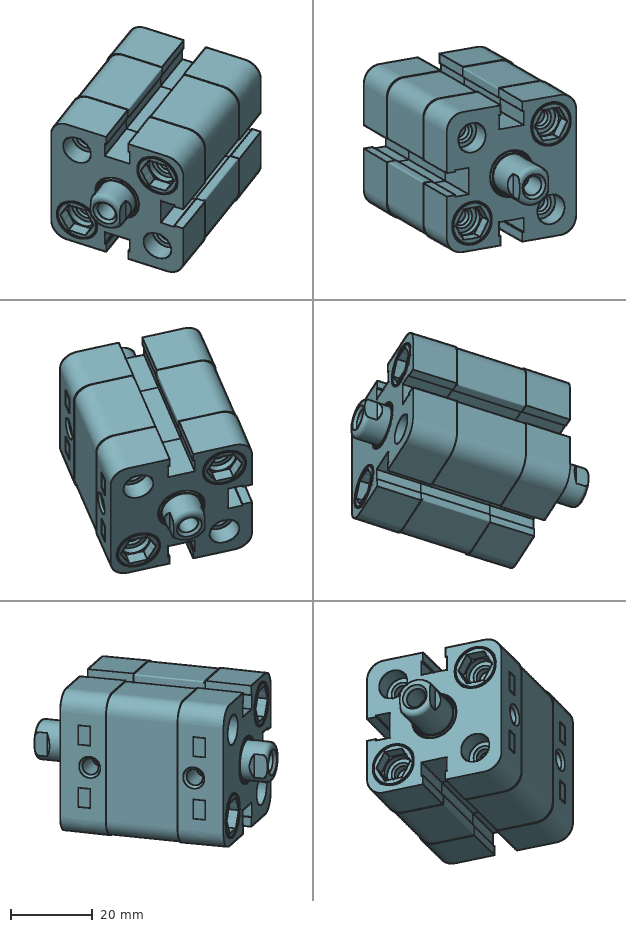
import cadquery as cq
import math


rod_length = 60.1
rod_diameter = 10.0
rear_rod_overhang = 11.4
cap_length = 11.85
barrel_length = 18.45
cap_outer_side = 36.1
cap_joint_side = 36.3
cap_outer_corner = 4.45
barrel_side = 35.95
barrel_corner = 4.5
bore_diameter = 20.0
bore_depth_in_cap = 7.2

joint_y = barrel_length / 2
rod_rear_y = joint_y + cap_length + rear_rod_overhang
rod_front_y = rod_rear_y - rod_length
core_length = barrel_length + 2 * bore_depth_in_cap

slot_width = 6.85
slot_floor = 11.95
lip_height = 15.6
cap_lip_gap = 6.0
barrel_lip_gap = 5.75
barrel_lip_fillet = 0.35
slot_angles = (0, 90, 180)

cut_margin = 0.6

hole_offset = 11.0
thread_diameter = 4.15
thread_mouth_diameter = 5.3
thread_depth = 2.4
counterbore_diameter = 7.6
counterbore_depth = 4.8
head_hole_diameter = 11.1
head_diameter = 10.9
head_face_diameter = 10.35
head_groove_depth = 0.6
hex_across_flats = 7.9
hex_pilot_diameter = 8.0
hex_depth = 3.0
socket_diameter = 7.6
socket_depth = 4.8

rod_mouth_diameter = 12.0
rod_recess_diameter = 11.4
rod_recess_depth = 0.6
wiper_base_diameter = 11.1
wiper_tip_diameter = 10.45
wiper_height = 0.5

port_from_joint = 4.2
port_diameter = 4.15
port_mouth_diameter = 5.5
core_window_height = 3.2
label_from_joint = 5.6
label_width = 3.1
label_length = 4.9
label_offset = 8.0
label_depth = 0.1

rod_end_fillet = 1.2
flat_distance = 8.0
flat_length = 3.3
rod_thread_diameter = 4.9
rod_thread_mouth_diameter = 6.45
rod_thread_depth = 7.2


def centred_cylinder(diameter, length):
    """Cylinder along Y, centred on the origin."""
    return cq.Workplane("XZ").circle(diameter / 2).extrude(length / 2, both=True)


def round_hole(face_y, x, z, diameter, depth):
    """Cylinder sunk toward +Y from face_y."""
    return cq.Workplane("XZ", origin=(x, face_y, z)).circle(diameter / 2).extrude(-depth)


def mouth_cone(face_y, x, z, mouth_diameter, hole_diameter):
    """45 degree countersink sunk toward +Y from face_y."""
    depth = (mouth_diameter - hole_diameter) / 2
    cone = cq.Solid.makeCone(
        mouth_diameter / 2, hole_diameter / 2, depth, pnt=(x, face_y, z), dir=(0, 1, 0)
    )
    return cq.Workplane(cone)


def threaded_hole(face_y, x, z, mouth_diameter, diameter, depth):
    """Core hole with a countersunk mouth, sunk toward +Y from face_y."""
    hole = round_hole(face_y, x, z, diameter, depth)
    return hole.union(mouth_cone(face_y, x, z, mouth_diameter, diameter))


def cut_slots(body, lip_gap, y_front, length):
    """Cut the undercut slots over a length that starts at y_front."""
    outside = cap_joint_side / 2 + cut_margin
    undercut = (
        cq.Workplane("XY")
        .box(slot_width, length, lip_height - slot_floor, centered=(True, False, False))
        .translate((0, y_front, slot_floor))
    )
    mouth = (
        cq.Workplane("XY")
        .box(lip_gap, length, outside - slot_floor, centered=(True, False, False))
        .translate((0, y_front, slot_floor))
    )
    slot = undercut.union(mouth)
    for angle in slot_angles:
        body = body.cut(slot.rotate((0, 0, 0), (0, 1, 0), angle))
    return body


def cut_screw_head(cap, face_y, x, z):
    """Screw head flush with the cap face: edge groove, hexagon socket and threaded hole."""
    head_chamfer = (head_diameter - head_face_diameter) / 2
    head = round_hole(face_y, x, z, head_diameter, head_groove_depth).faces("<Y").chamfer(head_chamfer)
    groove = round_hole(face_y, x, z, head_hole_diameter, head_groove_depth).cut(head)
    hexagon = (
        cq.Workplane("XZ", origin=(x, face_y, z))
        .polygon(6, hex_across_flats / math.cos(math.pi / 6))
        .extrude(-hex_depth)
    )
    pilot = round_hole(face_y, x, z, hex_pilot_diameter, hex_depth)
    socket = round_hole(face_y, x, z, socket_diameter, socket_depth)
    thread = threaded_hole(
        face_y + socket_depth, x, z, thread_mouth_diameter, thread_diameter, thread_depth
    )
    return cap.cut(groove).cut(hexagon).cut(pilot).cut(socket).cut(thread)


def cut_counterbore(cap, face_y, x, z):
    """Plain counterbore with a threaded hole in its floor."""
    bore = round_hole(face_y, x, z, counterbore_diameter, counterbore_depth)
    thread = threaded_hole(
        face_y + counterbore_depth, x, z, thread_mouth_diameter, thread_diameter, thread_depth
    )
    return cap.cut(bore).cut(thread)


def cut_bores(cap, face_y):
    """Bore for the core, rod hole, and a recess that leaves a conical wiper lip around the rod."""
    lip = cq.Workplane(
        cq.Solid.makeCone(
            wiper_base_diameter / 2,
            wiper_tip_diameter / 2,
            wiper_height,
            pnt=(0, face_y + rod_recess_depth, 0),
            dir=(0, -1, 0),
        )
    )
    recess = round_hole(face_y, 0, 0, rod_recess_diameter, rod_recess_depth)
    mouth = mouth_cone(face_y, 0, 0, rod_mouth_diameter, rod_recess_diameter)
    cap = cap.cut(recess.union(mouth).cut(lip))
    return cap.cut(centred_cylinder(rod_diameter, 2 * rod_length)).cut(
        centred_cylinder(bore_diameter, core_length)
    )


def cut_port(cap):
    """Port in the -X side, just deep enough to break into the bore and bare a strip of the core."""
    port_y = -joint_y - port_from_joint
    side_x = -cap_joint_side / 2
    floor_x = -math.sqrt((bore_diameter / 2) ** 2 - (core_window_height / 2) ** 2)
    port = (
        cq.Workplane("YZ", origin=(side_x, port_y, 0))
        .circle(port_diameter / 2)
        .extrude(floor_x - side_x)
    )
    mouth_depth = (port_mouth_diameter - port_diameter) / 2
    mouth = cq.Workplane(
        cq.Solid.makeCone(
            port_mouth_diameter / 2, port_diameter / 2, mouth_depth, pnt=(side_x, port_y, 0), dir=(1, 0, 0)
        )
    )
    return cap.cut(port).cut(mouth)


def cut_labels(cap):
    """Shallow rectangular label fields above and below the port."""
    draft = (cap_joint_side - cap_outer_side) / 2 * label_from_joint / cap_length
    label_side_x = -cap_joint_side / 2 + draft
    for z in (-label_offset, label_offset):
        field = cq.Workplane("XY").box(2 * label_depth, label_width, label_length)
        cap = cap.cut(field.translate((label_side_x, -joint_y - label_from_joint, z)))
    return cap


def make_front_cap():
    """Cap drafted from the joint with the barrel down to its outer face."""
    face_y = -joint_y - cap_length
    cap_joint_corner = cap_outer_corner + (cap_joint_side - cap_outer_side) / 2
    cap = (
        cq.Workplane("XZ", origin=(0, -joint_y, 0))
        .placeSketch(
            cq.Sketch().rect(cap_joint_side, cap_joint_side).vertices().fillet(cap_joint_corner),
            cq.Sketch()
            .rect(cap_outer_side, cap_outer_side)
            .vertices()
            .fillet(cap_outer_corner)
            .moved(cq.Location(cq.Vector(0, 0, cap_length))),
        )
        .loft()
    )
    cap = cut_slots(cap, cap_lip_gap, face_y, cap_length)
    for side in (-1, 1):
        cap = cut_screw_head(cap, face_y, side * hole_offset, side * hole_offset)
        cap = cut_counterbore(cap, face_y, side * hole_offset, -side * hole_offset)
    cap = cut_bores(cap, face_y)
    cap = cut_port(cap)
    return cut_labels(cap)


def make_barrel():
    """Rounded square tube whose slot mouths have rounded edges."""
    lip_edges = cq.selectors.BoxSelector(
        (-slot_width / 2, -joint_y, (lip_height + barrel_side / 2) / 2),
        (slot_width / 2, joint_y, cap_joint_side / 2),
    )
    barrel = (
        cq.Workplane("XZ", origin=(0, joint_y, 0))
        .rect(barrel_side, barrel_side)
        .extrude(barrel_length)
        .edges("|Y")
        .fillet(barrel_corner)
    )
    barrel = cut_slots(barrel, barrel_lip_gap, -joint_y, barrel_length)
    barrel = barrel.cut(centred_cylinder(bore_diameter, barrel_length))
    for angle in slot_angles:
        barrel = barrel.rotate((0, 0, 0), (0, 1, 0), -angle)
        barrel = barrel.edges(lip_edges).fillet(barrel_lip_fillet).rotate((0, 0, 0), (0, 1, 0), angle)
    return barrel


def make_core():
    """Sleeve around the rod that fills the bore."""
    return centred_cylinder(bore_diameter, core_length).cut(centred_cylinder(rod_diameter, core_length))


def rod_end_cut(end_y):
    """Two wrench flats with 45 degree run-outs and a threaded hole, at the rod's -Y end."""
    half_flat = flat_distance / 2
    outside = rod_diameter / 2 + cut_margin
    flat_end_y = end_y + flat_length
    run_out_y = flat_end_y + outside - half_flat
    flat = (
        cq.Workplane("XY", origin=(0, 0, -rod_diameter / 2))
        .polyline([(half_flat, end_y), (outside, end_y), (outside, run_out_y), (half_flat, flat_end_y)])
        .close()
        .extrude(rod_diameter)
    )
    thread = threaded_hole(
        end_y, 0, 0, rod_thread_mouth_diameter, rod_thread_diameter, rod_thread_depth
    )
    return flat.union(flat.mirror("YZ")).union(thread)


def make_rod():
    """Through rod with rounded ends, wrench flats and a threaded hole at both ends."""
    rod = (
        cq.Workplane("XZ", origin=(0, rod_rear_y, 0))
        .circle(rod_diameter / 2)
        .extrude(rod_length)
        .faces("<Y or >Y")
        .edges()
        .fillet(rod_end_fillet)
    )
    front_cut = rod_end_cut(rod_front_y)
    rear_cut = rod_end_cut(-rod_rear_y).rotate((0, 0, 0), (1, 0, 0), 180)
    return rod.cut(front_cut).cut(rear_cut)


front_cap = make_front_cap()
rear_cap = front_cap.rotate((0, 0, 0), (1, 0, 0), 180)
barrel = make_barrel()
core = make_core()
rod = make_rod()

result = cq.Compound.makeCompound(
    [front_cap.val(), rear_cap.val(), barrel.val(), core.val(), rod.val()]
)